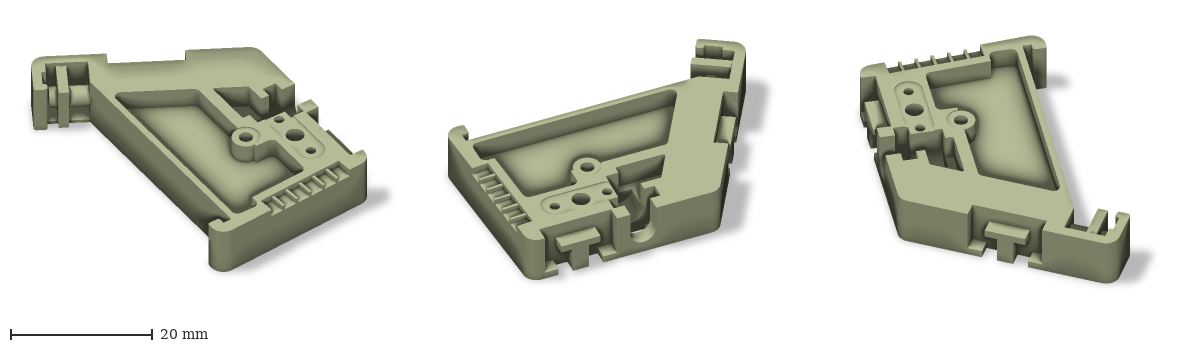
import cadquery as cq
import math

slant_lean = 30.0
right_lean = 4.0
height = 7.5

top_y = 23.7
slant_edge_u = -5.95
right_edge_x = 37.5
corner_radius = 2.0
leg_end_v = -8.05
leg_lip_u = 1.25
tip_radius = 0.4

clamp_left_u = -4.35
clamp_end_v = -6.07
clamp_floor = 0.5
tip_recess_depth = 0.65
tip_recess_left_u = -2.6
tip_recess_right_u = 0.05

hook_inner_x = 35.6
hook_tip_x = 34.5
hook_top_y = -1.35
hook_bottom_y = -3.3

plate_width = 5.9
plate_thickness = 1.45
plate_top_v = -3.1
plate_height = 6.5
screw_radius = 1.5
screw_u = -1.43
screw_z = clamp_floor + plate_height / 2
screw_tip_v = -5.75
screw_hole_radius = 1.7
screw_hole_depth = 4.0

pocket_depth = 3.17
pocket_radius = 0.9
pocket_left_u = 2.55
pocket_bottom_y = 0.95
pocket_middle_y = 11.7
pocket_top_y = 14.7
pocket_step_x = 24.5
pocket_wall = 3.8
pocket_low_top_y = 5.0
pocket_low_right_x = 35.25
boss_x = 21.95
boss_radius = 2.02
boss_drop = 0.2
boss_hole_radius = 1.0

small_pocket_top_y = 18.0
small_pocket_bottom_y = 13.5
small_pocket_radius = 0.28
small_pocket_depth = height / 2

trough_x = 18.45
trough_radius = 2.0
trough_end_y = 14.7
nut_width = 7.2
nut_thickness = 2.2
nut_y = 20.4
nut_floor = 0.8

oblong_x = 25.45
oblong_y = 17.65
oblong_radius = 2.02
oblong_hole_pitch = 8.0
oblong_depth = 0.2
small_hole_radius = 0.75
blind_hole_radius = 1.35
blind_hole_depth = 3.5

notch_length = 11.05
notch_depth = 2.1
notch_floor = 1.1
window_length = 6.85
tab_length = 6.0
tab_bottom = 4.0
tab_top = 5.1
stem_length = 2.4
left_notch_v = 8.3
top_notch_x = 27.97

rib_count = 5
rib_thickness = 0.4
rib_gap = 2.0
rib_height = 0.85
recess_top_y = 19.75
recess_width = 2.5
recess_depth = 1.2

slant_plane = cq.Plane(
    origin=(0, 0, 0),
    xDir=(math.cos(math.radians(slant_lean)), -math.sin(math.radians(slant_lean)), 0),
    normal=(0, 0, 1),
)


def slant_point(u, v):
    """X and Y of a point given in slant coordinates."""
    point = slant_plane.toWorldCoords((u, v))
    return point.x, point.y


def slant_point_at_y(u, y):
    """The point at the given Y on the line of constant u."""
    lean = math.radians(slant_lean)
    return slant_point(u, (y + u * math.sin(lean)) / math.cos(lean))


def right_side_x(y):
    """X of the leaning right side at the given Y."""
    return right_edge_x - y * math.tan(math.radians(right_lean))


def rounded_outline(corners):
    """Closed wire through (point, radius) corners, each rounded by a tangent arc; radius 0 stays sharp."""
    stops = []
    for i, (point, radius) in enumerate(corners):
        corner = cq.Vector(*point)
        to_last = (cq.Vector(*corners[i - 1][0]) - corner).normalized()
        to_next = (cq.Vector(*corners[(i + 1) % len(corners)][0]) - corner).normalized()
        half_angle = to_last.getAngle(to_next) / 2
        setback = radius / math.tan(half_angle)
        bisector = (to_last + to_next).normalized()
        middle = corner + bisector * (radius / math.sin(half_angle) - radius)
        stops.append((corner + to_last * setback, middle, corner + to_next * setback, radius))
    outline = cq.Workplane("XY").moveTo(stops[0][2].x, stops[0][2].y)
    for start, middle, end, radius in stops[1:] + stops[:1]:
        outline = outline.lineTo(start.x, start.y)
        if radius > 0:
            outline = outline.threePointArc((middle.x, middle.y), (end.x, end.y))
    return outline.close()


def box(x_range, y_range, z_range):
    """Box between the given limits."""
    size = [end - start for start, end in (x_range, y_range, z_range)]
    return cq.Workplane("XY").box(*size, centered=False).translate((x_range[0], y_range[0], z_range[0]))


def slant_box(u_range, v_range, z_range):
    """Box between the given limits in slant coordinates."""
    return box(u_range, v_range, z_range).rotate((0, 0, 0), (0, 0, 1), -slant_lean)


def cylinder(x, y, radius, z_range):
    """Upright cylinder between two heights."""
    return cq.Workplane("XY", origin=(x, y, z_range[0])).circle(radius).extrude(z_range[1] - z_range[0])


def screw_cylinder(radius, v_range):
    """Cylinder on the clamp screw's axis, which runs along v."""
    x, y = slant_point(screw_u, v_range[0])
    plane = cq.Plane(origin=(x, y, screw_z), xDir=(0, 0, 1), normal=slant_plane.yDir.toTuple())
    return cq.Workplane(plane).circle(radius).extrude(v_range[1] - v_range[0])


def housing_blank():
    """Full-height body with the leg and the rail hook."""
    recess_end_v = clamp_end_v - tip_recess_depth
    corners = [
        (slant_point_at_y(slant_edge_u, top_y), corner_radius),
        ((right_side_x(top_y), top_y), corner_radius),
        ((right_side_x(hook_bottom_y), hook_bottom_y), corner_radius),
        ((hook_tip_x, hook_bottom_y), tip_radius),
        ((hook_tip_x, hook_top_y), tip_radius),
        ((hook_inner_x, hook_top_y), 0),
        ((hook_inner_x, 0), 0),
        ((0, 0), 0),
        (slant_point(0, recess_end_v), 0),
        (slant_point(tip_recess_right_u, recess_end_v), 0),
        (slant_point(tip_recess_right_u, clamp_end_v), tip_radius),
        (slant_point(leg_lip_u, clamp_end_v), tip_radius),
        (slant_point(leg_lip_u, leg_end_v), tip_radius),
        (slant_point(slant_edge_u, leg_end_v), corner_radius),
    ]
    return rounded_outline(corners).extrude(height)


def clamp_cut():
    """Pocket for the clamp plate, the recess past the screw tip and the screw hole."""
    pocket_z = (clamp_floor, height)
    pocket = slant_box((clamp_left_u, 0), (clamp_end_v, 0), pocket_z)
    tip_recess = slant_box(
        (tip_recess_left_u, tip_recess_right_u), (clamp_end_v - tip_recess_depth, clamp_end_v), pocket_z
    )
    hole = screw_cylinder(screw_hole_radius, (0, screw_hole_depth))
    return pocket.union(tip_recess).union(hole)


def large_pocket_cut():
    """Stepped pocket that leaves the round boss standing."""
    floor = height - pocket_depth
    corners = [
        (slant_point_at_y(pocket_left_u, pocket_bottom_y), pocket_radius),
        (slant_point_at_y(pocket_left_u, pocket_middle_y), pocket_radius),
        ((pocket_step_x, pocket_middle_y), 0),
        ((pocket_step_x, pocket_top_y), pocket_radius),
        ((right_side_x(pocket_top_y) - pocket_wall, pocket_top_y), pocket_radius),
        ((right_side_x(pocket_low_top_y) - pocket_wall, pocket_low_top_y), 0),
        ((pocket_low_right_x, pocket_low_top_y), pocket_radius),
        ((pocket_low_right_x, pocket_bottom_y), pocket_radius),
    ]
    pocket = rounded_outline(corners).extrude(pocket_depth).translate((0, 0, floor))
    boss = cylinder(boss_x, pocket_middle_y, boss_radius, (floor, height))
    boss_top = cylinder(boss_x, pocket_middle_y, boss_radius, (height - boss_drop, height))
    hole = cylinder(boss_x, pocket_middle_y, boss_hole_radius, (0, height))
    return pocket.cut(boss).union(boss_top).union(hole)


def small_pocket_cut():
    """Four-sided pocket beside the trough."""
    corners = [
        (slant_point_at_y(pocket_left_u, small_pocket_bottom_y), small_pocket_radius),
        (slant_point_at_y(pocket_left_u, small_pocket_top_y), small_pocket_radius),
        ((trough_x, small_pocket_top_y), 0),
        ((trough_x, small_pocket_bottom_y), small_pocket_radius),
    ]
    return rounded_outline(corners).extrude(small_pocket_depth).translate((0, 0, height - small_pocket_depth))


def trough_cut():
    """Round-bottomed trough, open at the top and the +Y side, crossed by a nut slot."""
    x_range = (trough_x - trough_radius, trough_x + trough_radius)
    middle_z = height / 2
    bore = cq.Workplane("XZ", origin=(trough_x, top_y, middle_z)).circle(trough_radius)
    trough = bore.extrude(top_y - trough_end_y).union(box(x_range, (trough_end_y, top_y), (middle_z, height)))
    nut_y_range = (nut_y - nut_thickness / 2, nut_y + nut_thickness / 2)
    nut_x_range = (trough_x - nut_width / 2, trough_x + nut_width / 2)
    nut_slot = box(nut_x_range, nut_y_range, (nut_floor, height))
    window = box(x_range, nut_y_range, (0, height))
    return trough.union(nut_slot).union(window)


def oblong_cut():
    """Shallow oblong recess with a through hole at each end and a blind hole between them."""
    floor = height - oblong_depth
    recess_length = oblong_hole_pitch + 2 * oblong_radius
    sketch = cq.Workplane("XY", origin=(oblong_x, oblong_y, floor)).slot2D(recess_length, 2 * oblong_radius)
    cut = sketch.extrude(oblong_depth)
    cut = cut.union(cylinder(oblong_x, oblong_y, blind_hole_radius, (floor - blind_hole_depth, floor)))
    for side in (-1, 1):
        x = oblong_x + side * oblong_hole_pitch / 2
        cut = cut.union(cylinder(x, oblong_y, small_hole_radius, (0, height)))
    return cut


def marker_notch_cut():
    """Notch cut inward (-Y) from an edge along X, centred at the origin, around a T-shaped tab."""
    depth = (-notch_depth, 0)

    def block(length, z_range):
        return box((-length / 2, length / 2), depth, z_range)

    notch = block(notch_length, (notch_floor, height)).union(block(window_length, (0, height)))
    tab = block(stem_length, (0, tab_bottom)).union(block(tab_length, (tab_bottom, tab_top)))
    return notch.cut(tab)


def ribbed_recess_cut():
    """Shallow recess along the right side, with ribs left standing across it."""
    length = (rib_count + 1) * rib_gap + rib_count * rib_thickness
    x_range = (-recess_width, recess_width)
    cut = box(x_range, (-length, 0), (height - recess_depth, height))
    for i in range(rib_count):
        rib_top_y = -rib_gap - i * (rib_gap + rib_thickness)
        rib_z = (height - recess_depth, height - recess_depth + rib_height)
        cut = cut.cut(box(x_range, (rib_top_y - rib_thickness, rib_top_y), rib_z))
    cut = cut.rotate((0, 0, 0), (0, 0, 1), right_lean)
    return cut.translate((right_side_x(recess_top_y), recess_top_y, 0))


def make_housing():
    slant_x, slant_y = slant_point(slant_edge_u, left_notch_v)
    left_notch = marker_notch_cut().rotate((0, 0, 0), (0, 0, 1), 90 - slant_lean)
    cuts = [
        clamp_cut(),
        large_pocket_cut(),
        small_pocket_cut(),
        trough_cut(),
        oblong_cut(),
        marker_notch_cut().translate((top_notch_x, top_y, 0)),
        left_notch.translate((slant_x, slant_y, 0)),
        ribbed_recess_cut(),
    ]
    housing = housing_blank()
    for cut in cuts:
        housing = housing.cut(cut)
    return housing


def make_clamp_screw():
    return screw_cylinder(screw_radius, (screw_tip_v, screw_hole_depth))


def make_clamp_plate():
    plate = slant_box(
        (clamp_left_u, clamp_left_u + plate_width),
        (plate_top_v - plate_thickness, plate_top_v),
        (clamp_floor, clamp_floor + plate_height),
    )
    return plate.cut(make_clamp_screw())


housing = make_housing()
clamp_screw = make_clamp_screw()
clamp_plate = make_clamp_plate()

result = cq.Compound.makeCompound(
    [*housing.solids().vals(), *clamp_screw.solids().vals(), *clamp_plate.solids().vals()]
)